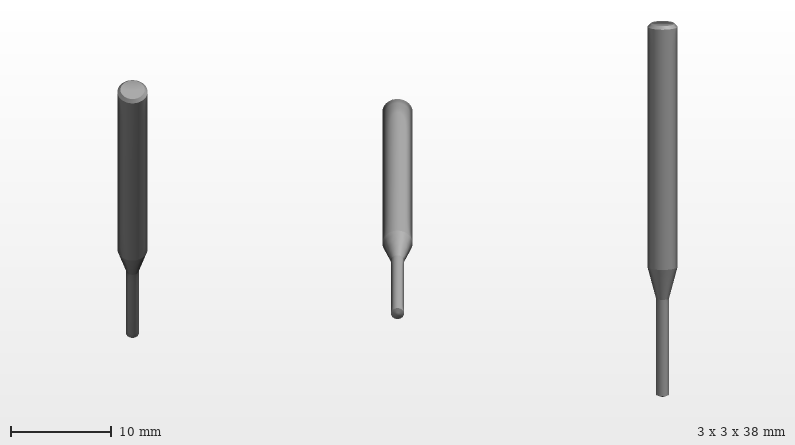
import cadquery as cq
import math

total_length = 38.0
shank_diameter = 3.0
cutter_diameter = 1.3
end_chamfer = 0.3
cutter_length = 10.05
taper_length = 3.23
point_angle = 140.0

shank_radius = shank_diameter / 2
cutter_radius = cutter_diameter / 2
point_height = cutter_radius / math.tan(math.radians(point_angle / 2))

tip_z = -total_length / 2
top_z = total_length / 2
joint_z = tip_z + cutter_length
taper_top_z = joint_z + taper_length


def revolve_profile(points):
    """Turn a closed (radius, height) outline around the Z axis."""
    return cq.Workplane("XZ").polyline(points).close().revolve(360, (0, 0), (0, 1))


def make_shank():
    """Cylindrical shank with a chamfered top and a taper down to the cutter."""
    return revolve_profile([
        (0, joint_z),
        (cutter_radius, joint_z),
        (shank_radius, taper_top_z),
        (shank_radius, top_z - end_chamfer),
        (shank_radius - end_chamfer, top_z),
        (0, top_z),
    ])


def make_cutter():
    """Slim cylindrical cutter with a conical point, butted against the taper."""
    return revolve_profile([
        (0, tip_z),
        (cutter_radius, tip_z + point_height),
        (cutter_radius, joint_z),
        (0, joint_z),
    ])


shank = make_shank()
cutter = make_cutter()

result = cq.Compound.makeCompound([shank.val(), cutter.val()])